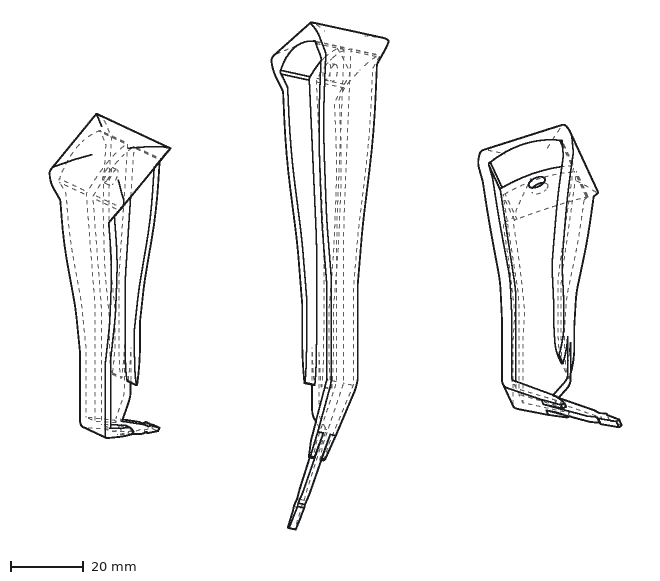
import cadquery as cq
import math

TOTAL_HEIGHT = 140.2
WEB_THICKNESS = 2.1
CLEARANCE = 28.0

DOME_RADIUS = 25.8
DOME_HALF_WIDTH = 11.1
DOME_HALF_DEPTH = 10.5
RIM_BOTTOM = (11.6, 135.7)
HEAD_SIDE_MIDDLE = (12.9, 135.5)
HEAD_SIDE_BOTTOM = (13.7, 132.0)

NECK_HALF_WIDTH = 7.9
NECK_TOP_Z = 127.8
NECK_BLEND = 0.49
WIDTH_TAPER_TOP_Z = 108.0
WIDTH_BLEND = 11.0
SHANK_HALF_WIDTH = 4.0
WIDTH_TAPER_BOTTOM_Z = 61.5
SHANK_BOTTOM_Z = 32.5
FLANGE_END_Z = 14.7
FLANGE_END_HALF_WIDTH = 2.2

SHANK_HALF_DEPTH = 9.1
DEPTH_TAPER_BOTTOM_Z = 79.6
DEPTH_BLEND = 4.6
FLANGE_THICKNESS = 3.0
POCKET_HALF_DEPTH = SHANK_HALF_DEPTH - FLANGE_THICKNESS
POCKET_TOP_Z = 134.6
POCKET_ROOF_HALF_DEPTH = 10.2
POCKET_SIDE_TOP_Z = 131.6
POCKET_CORNER_MIDDLE = (10.7, 132.3)

REAR_TIP_INNER = [
    (POCKET_HALF_DEPTH, 52.3),
    (6.3, 47.5),
    (6.5, 44.2),
    (6.6, 41.8),
    (6.9, 39.4),
    (7.3, 36.9),
]
REAR_TIP_OUTER = [(7.7, 36.9), (8.5, 42.0), (SHANK_HALF_DEPTH, 49.0)]

BEND_CORNER = (-SHANK_HALF_DEPTH, 30.5)
BEND_BLEND = 2.4
BLADE_UNDERSIDE_END = (14.7, 7.3)
BLADE_ROOT = (4.6, 22.5)
BLADE_OUTLINE = [
    (16.8, 9.1),
    (18.4, 6.9),
    (20.5, 5.5),
    (20.9, 4.5),
    (24.3, 0.5),
    (23.4, 0.0),
    (18.1, 4.3),
    (17.7, 5.2),
]

HEEL_END = (7.5, 26.5)
HEEL_MIDDLE = (8.7, 28.3)
HEEL_START = (SHANK_HALF_DEPTH, 31.1)

FRONT_FLANGE_LEAVES_EDGE = (2.0, 19.8)
FRONT_FLANGE_TIP = [(7.5, 14.9), (8.7, 15.0), (6.5, 19.0)]
FRONT_POCKET_CORNER = (-POCKET_HALF_DEPTH, 32.0)

HOLE_DIAMETER = 4.8
HOLE_Z = 129.7


def mirrored(point):
    """Mirror a profile point across the vertical axis."""
    return (-point[0], point[1])


def toward(start, end, distance):
    """Point at a distance from start on the way to end."""
    share = distance / math.dist(start, end)
    return (start[0] + share * (end[0] - start[0]), start[1] + share * (end[1] - start[1]))


def dome_point(offset):
    """Point of the dome arc at an offset from the middle."""
    drop = DOME_RADIUS - math.sqrt(DOME_RADIUS**2 - offset**2)
    return (offset, TOTAL_HEIGHT - drop)


def blended_corner(sketch, before, corner, after, length):
    """Draw a straight run from before, ending in a tangent arc around the corner."""
    return sketch.lineTo(*toward(corner, before, length)).tangentArcPoint(
        toward(corner, after, length), relative=False
    )


def width_envelope():
    """Solid that limits the width along X: domed head, flare, neck, taper and narrow lower end."""
    flange_end = (FLANGE_END_HALF_WIDTH, FLANGE_END_Z)
    shank_bottom = (SHANK_HALF_WIDTH, SHANK_BOTTOM_Z)
    taper_bottom = (SHANK_HALF_WIDTH, WIDTH_TAPER_BOTTOM_Z)
    taper_top = (NECK_HALF_WIDTH, WIDTH_TAPER_TOP_Z)
    neck_top = (NECK_HALF_WIDTH, NECK_TOP_Z)
    sketch = (
        cq.Workplane("XZ")
        .moveTo(0, TOTAL_HEIGHT)
        .threePointArc(dome_point(DOME_HALF_WIDTH / 2), dome_point(DOME_HALF_WIDTH))
        .tangentArcPoint(RIM_BOTTOM, relative=False)
    )
    sketch = blended_corner(sketch, RIM_BOTTOM, neck_top, taper_top, NECK_BLEND)
    sketch = blended_corner(sketch, neck_top, taper_top, taper_bottom, WIDTH_BLEND)
    for point in (taper_bottom, shank_bottom, flange_end):
        sketch = sketch.lineTo(*point)
    sketch = sketch.lineTo(FLANGE_END_HALF_WIDTH, 0).lineTo(0, 0)
    half = sketch.close().extrude(CLEARANCE, both=True)
    return half.union(half.mirror("YZ"))


def side_body():
    """Full-width solid from the side outline: bend, handle, domed head, heel and blade."""
    front_taper_bottom = (-SHANK_HALF_DEPTH, DEPTH_TAPER_BOTTOM_Z)
    rear_taper_bottom = mirrored(front_taper_bottom)
    front_head_bottom = mirrored(HEAD_SIDE_BOTTOM)
    dome_edge = dome_point(DOME_HALF_DEPTH)
    sketch = cq.Workplane("YZ").moveTo(*BLADE_UNDERSIDE_END)
    sketch = blended_corner(sketch, BLADE_UNDERSIDE_END, BEND_CORNER, front_taper_bottom, BEND_BLEND)
    sketch = blended_corner(sketch, BEND_CORNER, front_taper_bottom, front_head_bottom, DEPTH_BLEND)
    sketch = (
        sketch.lineTo(*front_head_bottom)
        .threePointArc(mirrored(HEAD_SIDE_MIDDLE), mirrored(dome_edge))
        .threePointArc((0, TOTAL_HEIGHT), dome_edge)
        .threePointArc(HEAD_SIDE_MIDDLE, HEAD_SIDE_BOTTOM)
    )
    sketch = blended_corner(sketch, HEAD_SIDE_BOTTOM, rear_taper_bottom, HEEL_START, DEPTH_BLEND)
    sketch = sketch.lineTo(*HEEL_START).threePointArc(HEEL_MIDDLE, HEEL_END).lineTo(*BLADE_ROOT)
    for point in BLADE_OUTLINE:
        sketch = sketch.lineTo(*point)
    return sketch.close().extrude(CLEARANCE, both=True)


def pocket_cutter():
    """Everything outside the two flanges, down past the blade, on one side of the web."""
    taper_slope = (HEAD_SIDE_BOTTOM[0] - SHANK_HALF_DEPTH) / (HEAD_SIDE_BOTTOM[1] - DEPTH_TAPER_BOTTOM_Z)
    taper_bottom = (POCKET_HALF_DEPTH, DEPTH_TAPER_BOTTOM_Z)
    taper_rise = POCKET_SIDE_TOP_Z - DEPTH_TAPER_BOTTOM_Z
    side_top = (POCKET_HALF_DEPTH + taper_slope * taper_rise, POCKET_SIDE_TOP_Z)
    roof_drop = TOTAL_HEIGHT - POCKET_TOP_Z
    roof_edge = (POCKET_ROOF_HALF_DEPTH, dome_point(POCKET_ROOF_HALF_DEPTH)[1] - roof_drop)
    front_taper_bottom = mirrored(taper_bottom)

    sketch = cq.Workplane("YZ", origin=(WEB_THICKNESS / 2, 0, 0)).moveTo(*FRONT_POCKET_CORNER)
    sketch = blended_corner(sketch, FRONT_POCKET_CORNER, front_taper_bottom, mirrored(side_top), DEPTH_BLEND)
    sketch = (
        sketch.lineTo(*mirrored(side_top))
        .threePointArc(mirrored(POCKET_CORNER_MIDDLE), mirrored(roof_edge))
        .threePointArc((0, POCKET_TOP_Z), roof_edge)
        .threePointArc(POCKET_CORNER_MIDDLE, side_top)
    )
    sketch = blended_corner(sketch, side_top, taper_bottom, REAR_TIP_INNER[0], DEPTH_BLEND)
    for point in REAR_TIP_INNER:
        sketch = sketch.lineTo(*point)
    sketch = (
        sketch.lineTo(*REAR_TIP_OUTER[0])
        .threePointArc(*REAR_TIP_OUTER[1:])
        .lineTo(CLEARANCE, REAR_TIP_OUTER[-1][1])
        .lineTo(CLEARANCE, -CLEARANCE)
        .lineTo(FRONT_FLANGE_LEAVES_EDGE[0], -CLEARANCE)
    )
    for point in (FRONT_FLANGE_LEAVES_EDGE, *FRONT_FLANGE_TIP):
        sketch = sketch.lineTo(*point)
    return sketch.close().extrude(CLEARANCE)


def hanging_hole():
    """Round cutter along X through the web."""
    return cq.Workplane("YZ").center(0, HOLE_Z).circle(HOLE_DIAMETER / 2).extrude(CLEARANCE, both=True)


pocket = pocket_cutter()
result = (
    side_body()
    .intersect(width_envelope())
    .cut(pocket)
    .cut(pocket.mirror("YZ"))
    .cut(hanging_hole())
)